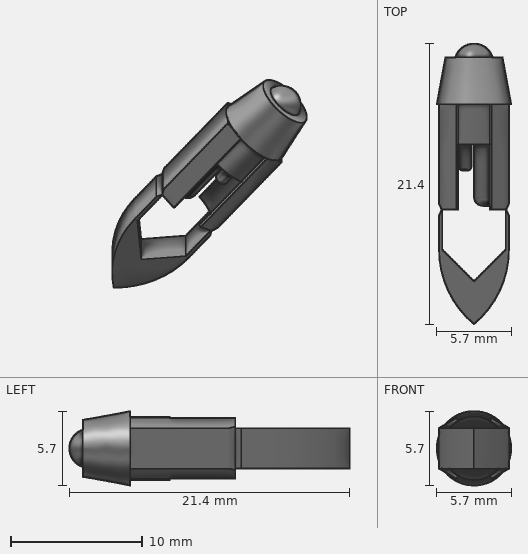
import cadquery as cq
import math


length = 21.4
notch_y = 8.74
plug_end_y = 13.72
cap_base_y = 16.76
cap_top_y = 20.36
shoulder_y = 5.7

half_width = 2.68
bore_radius = 2.42
bar_half_angle = 60
side_length = 2 * half_width * math.tan(math.radians(30))
notch_depth = 0.21
notch_half_length = 0.45
notch_rounding = 0.28

cap_base_radius = 2.85
cap_top_radius = 2.18
dome_radius = 1.5

long_pin_diameter = 2.0
long_pin_x = 0.98
long_pin_end_y = 9.01
long_pin_rounding = 0.7
short_pin_diameter = 1.0
short_pin_x = -0.69
short_pin_end_y = 11.71
short_pin_rounding = 0.35


def section_plane(y):
    """Cross-section plane at y, with X along the part's X and its normal along +Y."""
    return cq.Workplane(cq.Plane(origin=(0, y, 0), xDir=(1, 0, 0), normal=(0, 1, 0)))


def polar(radius, degrees):
    angle = math.radians(degrees)
    return radius * math.cos(angle), radius * math.sin(angle)


def side_bar():
    """Bar on the +X side: a third of a hexagonal sleeve, ending on radial faces."""
    half_side = side_length / 2
    return (
        section_plane(notch_y)
        .moveTo(*polar(bore_radius, bar_half_angle))
        .lineTo(*polar(half_width, bar_half_angle))
        .lineTo(half_width, half_side)
        .lineTo(half_width, -half_side)
        .lineTo(*polar(half_width, -bar_half_angle))
        .lineTo(*polar(bore_radius, -bar_half_angle))
        .threePointArc((bore_radius, 0), polar(bore_radius, bar_half_angle))
        .close()
        .extrude(cap_base_y - notch_y)
    )


def nose():
    """Pointed nose with a V-shaped inside and two thin arms reaching the bars."""
    arc_radius = (half_width**2 + shoulder_y**2) / (2 * half_width)
    arc_sweep = math.asin(shoulder_y / arc_radius)
    arc_x = half_width - arc_radius * (1 - math.cos(arc_sweep / 2))
    arc_y = shoulder_y - arc_radius * math.sin(arc_sweep / 2)
    return (
        cq.Workplane("XY")
        .moveTo(0, 0)
        .threePointArc((arc_x, arc_y), (half_width, shoulder_y))
        .lineTo(half_width, notch_y)
        .lineTo(bore_radius, notch_y)
        .lineTo(bore_radius, shoulder_y)
        .lineTo(0, shoulder_y - bore_radius)
        .lineTo(-bore_radius, shoulder_y)
        .lineTo(-bore_radius, notch_y)
        .lineTo(-half_width, notch_y)
        .lineTo(-half_width, shoulder_y)
        .threePointArc((-arc_x, arc_y), (0, 0))
        .close()
        .extrude(side_length / 2, both=True)
    )


def hinge_notch():
    """V groove across the outside of the +X side, where the arm meets the bar."""
    return (
        cq.Workplane("XY")
        .moveTo(half_width, notch_y - notch_half_length)
        .lineTo(half_width, notch_y + notch_half_length)
        .lineTo(half_width - notch_depth, notch_y)
        .close()
        .extrude(half_width, both=True)
    )


def make_frame():
    bar = side_bar()
    notch = hinge_notch()
    frame = nose().union(bar).union(bar.mirror("YZ"))
    frame = frame.cut(notch).cut(notch.mirror("YZ"))
    edge_y = notch_y + notch_half_length
    for edge_x in (-half_width, half_width):
        frame = frame.edges(cq.NearestToPointSelector((edge_x, edge_y, 0))).fillet(notch_rounding)
    return frame


def contact_pin(x, diameter, end_y, rounding):
    """Pin standing out of the plug's end face, with a rounded free end."""
    return (
        section_plane(end_y)
        .center(x, 0)
        .circle(diameter / 2)
        .extrude(plug_end_y - end_y)
        .faces("<Y")
        .edges()
        .fillet(rounding)
    )


def make_core():
    """Plug, tapered cap and dome turned about Y, with two contact pins."""
    dome_center_y = length - dome_radius
    dome_base_radius = math.sqrt(dome_radius**2 - (cap_top_y - dome_center_y) ** 2)
    dome_mid_x, dome_mid_rise = polar(dome_radius, 60)
    core = (
        cq.Workplane("XY")
        .moveTo(0, plug_end_y)
        .lineTo(bore_radius, plug_end_y)
        .lineTo(bore_radius, cap_base_y)
        .lineTo(cap_base_radius, cap_base_y)
        .lineTo(cap_top_radius, cap_top_y)
        .lineTo(dome_base_radius, cap_top_y)
        .threePointArc((dome_mid_x, dome_center_y + dome_mid_rise), (0, length))
        .close()
        .revolve(360, (0, 0, 0), (0, 1, 0))
    )
    long_pin = contact_pin(long_pin_x, long_pin_diameter, long_pin_end_y, long_pin_rounding)
    short_pin = contact_pin(short_pin_x, short_pin_diameter, short_pin_end_y, short_pin_rounding)
    return core.union(long_pin).union(short_pin)


frame = make_frame()
core = make_core()

result = cq.Compound.makeCompound([frame.solids().val(), core.solids().val()])